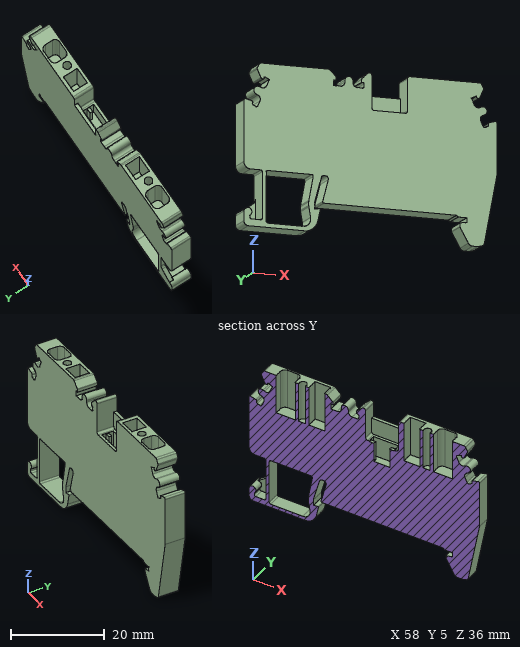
import cadquery as cq
import math

LENGTH = 58.0
THICKNESS = 5.0
HEIGHT = 36.0
MIDDLE_X = LENGTH / 2

BAY_HALF_WIDTH = 3.45
BAY_LIP = 0.55
BAY_LEDGE_HEIGHT = 1.23
RIB_HALF_WIDTH = 0.95
RIB_HEIGHT = 2.3
RIB_FOOT_ROUND = 0.95
BAY_CORNER_ROUND = 0.3

TOP_BAY_X = 24.08
TOP_BAY_FLOOR_Z = 32.5
SIDE_BAY_X = 4.45
SIDE_BAY_FLOOR_Z = 29.35
SIDE_BAY_TILT = 66.0

SHOULDER_Z = 28.0
BODY_BOTTOM_Z = 12.5
RAIL_FACE_Z = 6.45
NOSE_ROUND = 0.52
SMALL_ROUND = 0.35

RECESS_LEFT_X = 29.35
RECESS_RIGHT_X = 37.45
RECESS_FLOOR_Z = 27.8
RECESS_FLOOR_ROUND = 0.5
RECESS_WALL_TOP_Z = 31.95
RECESS_WALL_Y = 4.15

POCKET_LEFT_X = 30.25
POCKET_RIGHT_X = 36.55
POCKET_FRONT_Y = 0.7
POCKET_BACK_Y = 3.5
POCKET_DEPTH = 5.0
TAB_LENGTH = 1.2
TAB_RECESS = 0.15
TAB_FRONT_Y = 1.75
TAB_BACK_Y = 2.4

OPENING_DEPTH = 10.0
RELEASE_FROM_MIDDLE = 19.75
RELEASE_LENGTH = 4.7
RELEASE_WIDTH = 4.0
RELEASE_ROUND = 1.1
TEST_FROM_MIDDLE = 15.65
TEST_DIAMETER = 1.8
TEST_Y = 2.1
CONDUCTOR_FROM_MIDDLE = 11.95
CONDUCTOR_LENGTH = 3.9
CONDUCTOR_FRONT_Y = 0.7
CONDUCTOR_BACK_Y = 4.2

STEM_LEFT_X = 4.2
STEM_RIGHT_X = 5.15
HOOK_FLOOR_Z = 1.55
HOOK_TOP_Z = 4.05
HOOK_TIP_RADIUS = 0.91
HOOK_NECK_X = 1.4
FOOT_FLOOR_Z = 1.0
WEB_THICKNESS = 1.05
WEB_TOP_Z = 6.3
WEB_ROUND = 1.1


def toward(start, end, distance):
    """Point at a distance from start on the line to end."""
    length = math.dist(start, end)
    return tuple(a + (b - a) * distance / length for a, b in zip(start, end))


def rounded_prism(corners, depth):
    """Extrude a closed XZ outline along +Y; each corner is (x, z, radius)."""
    outline = cq.Workplane("XZ")
    for index, (x, z, radius) in enumerate(corners):
        corner = (x, z)
        before = corners[index - 1][:2]
        after = corners[(index + 1) % len(corners)][:2]
        angle_in = math.atan2(before[1] - z, before[0] - x)
        angle_out = math.atan2(after[1] - z, after[0] - x)
        half_angle = abs(math.remainder(angle_out - angle_in, 2 * math.pi)) / 2
        setback = radius / math.tan(half_angle)
        arc_start = toward(corner, before, setback)
        arc_end = toward(corner, after, setback)
        outline = outline.moveTo(*arc_start) if index == 0 else outline.lineTo(*arc_start)
        if radius > 0:
            chord_middle = tuple((a + b) / 2 for a, b in zip(arc_start, arc_end))
            arc_middle = toward(corner, chord_middle, radius / math.sin(half_angle) - radius)
            outline = outline.threePointArc(arc_middle, arc_end)
    return outline.close().extrude(-depth)


def box(x_range, y_range, z_range):
    """Axis-aligned block from its limits."""
    sizes = [high - low for low, high in (x_range, y_range, z_range)]
    corner = (x_range[0], y_range[0], z_range[0])
    return cq.Workplane("XY").box(*sizes, centered=False).translate(corner)


def marker_bay(center_x, floor_z, tilt, left_round, right_round):
    """Bay corners from the left ledge to the right ledge, turned by tilt degrees about the floor middle."""
    cap_height = RIB_HEIGHT - RIB_HALF_WIDTH
    lip_x = BAY_HALF_WIDTH - BAY_LIP
    local = [
        (-lip_x, BAY_LEDGE_HEIGHT, 0),
        (-BAY_HALF_WIDTH, BAY_LEDGE_HEIGHT, left_round),
        (-BAY_HALF_WIDTH, 0, left_round),
        (-RIB_HALF_WIDTH, 0, RIB_FOOT_ROUND),
        (-RIB_HALF_WIDTH, cap_height, 0),
        (RIB_HALF_WIDTH, cap_height, 0),
        (RIB_HALF_WIDTH, 0, RIB_FOOT_ROUND),
        (BAY_HALF_WIDTH, 0, right_round),
        (BAY_HALF_WIDTH, BAY_LEDGE_HEIGHT, right_round),
        (lip_x, BAY_LEDGE_HEIGHT, 0),
    ]
    cosine = math.cos(math.radians(tilt))
    sine = math.sin(math.radians(tilt))
    return [(center_x + u * cosine - v * sine, floor_z + u * sine + v * cosine, r) for u, v, r in local]


def round_bar(center_x, center_z, radius):
    """Cylinder through the full thickness; gives a flat-ended outline tip a full round."""
    return cq.Workplane("XZ").center(center_x, center_z).circle(radius).extrude(-THICKNESS)


def rib_cap(center_x, floor_z, tilt):
    """Full round on the rib of a marker bay."""
    reach = RIB_HEIGHT - RIB_HALF_WIDTH
    angle = math.radians(tilt)
    return round_bar(center_x - reach * math.sin(angle), floor_z + reach * math.cos(angle), RIB_HALF_WIDTH)


def left_shoulder():
    """Corners up the left end: shoulder, tilted marker bay and nose."""
    bay = marker_bay(SIDE_BAY_X, SIDE_BAY_FLOOR_Z, SIDE_BAY_TILT, BAY_CORNER_ROUND, 0)
    return [
        (0, SHOULDER_Z, SMALL_ROUND),
        (2.1, 27.4, SMALL_ROUND),
        *bay[1:-1],
        (4.6, 32.35, SMALL_ROUND),
        (3.97, 32.6, SMALL_ROUND),
        (2.98, 34.73, SMALL_ROUND),
        (3.7, HEIGHT, NOSE_ROUND),
    ]


def mirrored(corners):
    """Corners reflected about the middle of the block, in walking order."""
    return [(LENGTH - x, z, r) for x, z, r in reversed(corners)]


def housing():
    """Complete side outline of the block, walked clockwise from the foot of the hook."""
    hook = [
        (0, 0, 1.0),
        (0, HOOK_TOP_Z - HOOK_TIP_RADIUS, 0),
        (HOOK_NECK_X, HOOK_TOP_Z - HOOK_TIP_RADIUS, 0),
        (HOOK_NECK_X, HOOK_FLOOR_Z, SMALL_ROUND),
        (STEM_LEFT_X, HOOK_FLOOR_Z, SMALL_ROUND),
        (STEM_LEFT_X, BODY_BOTTOM_Z, SMALL_ROUND),
        (0, BODY_BOTTOM_Z, 1.5),
    ]
    top_edge = [
        (19.6, HEIGHT, 0.5),
        (21.15, 34.5, 0.15),
        *marker_bay(TOP_BAY_X, TOP_BAY_FLOOR_Z, 0, 0, BAY_CORNER_ROUND),
        (26.95, 34.45, 0.15),
        (28.5, HEIGHT, 0.4),
        (RECESS_LEFT_X, HEIGHT, 0.5),
        (RECESS_LEFT_X, RECESS_FLOOR_Z, RECESS_FLOOR_ROUND),
        (RECESS_RIGHT_X, RECESS_FLOOR_Z, RECESS_FLOOR_ROUND),
        (RECESS_RIGHT_X, HEIGHT, 0.6),
    ]
    fixed_foot = [
        (LENGTH, 16.0, 0),
        (55.05, 0.4, 0.7),
        (53.6, 0, 0.7),
        (51.75, 0, 1.1),
        (49.45, 4.0, 0.15),
        (49.45, 4.85, 0),
        (51.05, 5.1, 0),
        (51.05, 6.1, 0),
        (49.1, 6.1, 0),
        (48.7, RAIL_FACE_Z, 0),
    ]
    spring_foot = [
        (17.95, RAIL_FACE_Z, 0.3),
        (19.55, BODY_BOTTOM_Z, 0.65),
        (17.9, BODY_BOTTOM_Z, 0.65),
        (16.25, 6.5, 0),
        (16.25, 5.0, 0),
        (17.6, 5.2, 0.1),
        (16.45, 0, 3.1),
    ]
    shoulder = left_shoulder()
    outline = hook + shoulder + top_edge + mirrored(shoulder) + fixed_foot + spring_foot
    block = rounded_prism(outline, THICKNESS)
    block = block.union(round_bar(HOOK_TIP_RADIUS, HOOK_TOP_Z - HOOK_TIP_RADIUS, HOOK_TIP_RADIUS))
    block = block.union(rib_cap(TOP_BAY_X, TOP_BAY_FLOOR_Z, 0))
    block = block.union(rib_cap(SIDE_BAY_X, SIDE_BAY_FLOOR_Z, SIDE_BAY_TILT))
    return block.union(rib_cap(LENGTH - SIDE_BAY_X, SIDE_BAY_FLOOR_Z, -SIDE_BAY_TILT))


def foot_window():
    """Opening between the stem and the spring arm."""
    corners = [
        (STEM_RIGHT_X, FOOT_FLOOR_Z, SMALL_ROUND),
        (STEM_RIGHT_X, BODY_BOTTOM_Z, SMALL_ROUND),
        (15.95, BODY_BOTTOM_Z, SMALL_ROUND),
        (14.85, 6.6, 1.5),
        (14.85, 5.5, 1.5),
        (15.65, FOOT_FLOOR_Z, 1.75),
    ]
    return rounded_prism(corners, THICKNESS)


def hook_web():
    """Thin gusset on the back face that closes the space between hook and stem."""
    middle_x = (STEM_LEFT_X + STEM_RIGHT_X) / 2
    corners = [
        (HOOK_TIP_RADIUS, HOOK_FLOOR_Z / 2, 0),
        (HOOK_TIP_RADIUS, HOOK_TOP_Z, 0),
        (STEM_LEFT_X, WEB_TOP_Z, WEB_ROUND),
        (STEM_LEFT_X, WEB_TOP_Z + WEB_ROUND, 0),
        (middle_x, WEB_TOP_Z + WEB_ROUND, 0),
        (middle_x, HOOK_FLOOR_Z / 2, 0),
    ]
    return rounded_prism(corners, WEB_THICKNESS).translate((0, THICKNESS - WEB_THICKNESS, 0))


def recess_wall():
    """Thin wall along the back of the recess, sunk into the body around it."""
    overlap = RECESS_FLOOR_ROUND
    return box(
        (RECESS_LEFT_X - overlap, RECESS_RIGHT_X + overlap),
        (RECESS_WALL_Y, THICKNESS),
        (RECESS_FLOOR_Z - overlap, RECESS_WALL_TOP_Z),
    )


def contact_pocket():
    """Pocket in the recess floor, less the two tabs that stand at its ends."""
    floor_z = RECESS_FLOOR_Z - POCKET_DEPTH
    tab_z = (floor_z, RECESS_FLOOR_Z - TAB_RECESS)
    tab_y = (TAB_FRONT_Y, TAB_BACK_Y)
    pocket = box((POCKET_LEFT_X, POCKET_RIGHT_X), (POCKET_FRONT_Y, POCKET_BACK_Y), (floor_z, RECESS_FLOOR_Z))
    left_tab = box((POCKET_LEFT_X, POCKET_LEFT_X + TAB_LENGTH), tab_y, tab_z)
    right_tab = box((POCKET_RIGHT_X - TAB_LENGTH, POCKET_RIGHT_X), tab_y, tab_z)
    return pocket.cut(left_tab).cut(right_tab)


def top_openings(side):
    """Release, test and conductor openings of one end; side is -1 (left) or +1 (right)."""
    floor = cq.Workplane("XY").workplane(offset=HEIGHT - OPENING_DEPTH)
    release = (
        floor.center(MIDDLE_X + side * RELEASE_FROM_MIDDLE, THICKNESS / 2)
        .rect(RELEASE_LENGTH, RELEASE_WIDTH)
        .extrude(OPENING_DEPTH)
        .edges("|Z")
        .fillet(RELEASE_ROUND)
    )
    test = (
        floor.center(MIDDLE_X + side * TEST_FROM_MIDDLE, TEST_Y)
        .circle(TEST_DIAMETER / 2)
        .extrude(OPENING_DEPTH)
    )
    conductor = (
        floor.center(MIDDLE_X + side * CONDUCTOR_FROM_MIDDLE, (CONDUCTOR_FRONT_Y + CONDUCTOR_BACK_Y) / 2)
        .rect(CONDUCTOR_LENGTH, CONDUCTOR_BACK_Y - CONDUCTOR_FRONT_Y)
        .extrude(OPENING_DEPTH)
    )
    return [release, test, conductor]


result = housing().cut(foot_window()).union(hook_web()).union(recess_wall()).cut(contact_pocket())
for end in (-1, 1):
    for opening in top_openings(end):
        result = result.cut(opening)